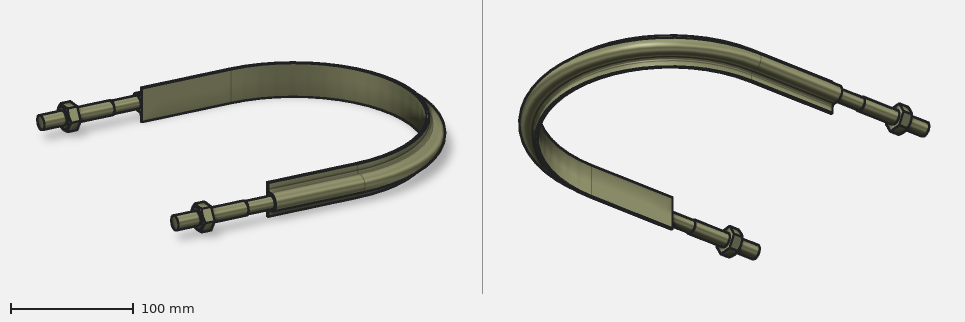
import cadquery as cq
import math

bend_radius = 116.0
rod_diameter = 11.2
thread_diameter = 12.5
thread_length = 65.0
leg_length = 171.8

sleeve_leg_length = 82.4
cushion_thickness = 2.0
bead_radius = rod_diameter / 2 + cushion_thickness
band_width = 30.0
band_thickness = cushion_thickness
bead_foot_fillet = 2.5
band_inner_radius = bend_radius - bead_radius

nut_across_flats = 21.0
nut_height = 10.0
nut_end_gap = 20.4
nut_chamfer_angle = 30.0
nut_face_diameter = 19.0


def leg_cylinder(side, diameter, y_start, length):
    """Cylinder on the leg axis of one side, running along -Y from y_start."""
    plane = cq.Plane(origin=(side * bend_radius, y_start, 0), xDir=(1, 0, 0), normal=(0, -1, 0))
    return cq.Workplane(plane).circle(diameter / 2).extrude(length)


def sweep_u(profile, leg):
    """U-shape of a profile(workplane) section whose origin lies on the rod axis."""
    section = cq.Plane(origin=(bend_radius, 0, 0), xDir=(1, 0, 0), normal=(0, -1, 0))
    bend = profile(cq.Workplane(section)).revolve(180, (-bend_radius, 0), (-bend_radius, 1))
    right_leg = profile(cq.Workplane(section)).extrude(leg)
    left_leg = right_leg.mirror("YZ")
    return bend.union(right_leg).union(left_leg)


def rod_section(workplane):
    return workplane.circle(rod_diameter / 2)


def sleeve_section(workplane):
    """Flat band with the round bead on its outer face, the bead feet rounded into the band."""
    inner = band_inner_radius - bend_radius
    outer = inner + band_thickness
    half_width = band_width / 2
    foot_x = outer + bead_foot_fillet
    centre_distance = bead_radius + bead_foot_fillet
    foot_z = math.sqrt(centre_distance**2 - foot_x**2)
    bead_end_x = foot_x * bead_radius / centre_distance
    bead_end_z = foot_z * bead_radius / centre_distance
    return (
        workplane.moveTo(inner, -half_width)
        .lineTo(outer, -half_width)
        .lineTo(outer, -foot_z)
        .radiusArc((bead_end_x, -bead_end_z), bead_foot_fillet)
        .threePointArc((bead_radius, 0), (bead_end_x, bead_end_z))
        .radiusArc((outer, foot_z), bead_foot_fillet)
        .lineTo(outer, half_width)
        .lineTo(inner, half_width)
        .close()
    )


def make_rod():
    rod = sweep_u(rod_section, leg_length - thread_length)
    for side in (-1, 1):
        rod = rod.union(leg_cylinder(side, thread_diameter, thread_length - leg_length, thread_length))
    return rod


def make_sleeve():
    bore = sweep_u(rod_section, sleeve_leg_length)
    return sweep_u(sleeve_section, sleeve_leg_length).cut(bore)


def make_nut(side):
    """Hexagon nut with corners along X, chamfered on its outer (-Y) face."""
    y_start = nut_height + nut_end_gap - leg_length
    across_corners = nut_across_flats / math.cos(math.pi / 6)
    plane = cq.Plane(origin=(side * bend_radius, y_start, 0), xDir=(1, 0, 0), normal=(0, -1, 0))
    hexagon = cq.Workplane(plane).polygon(6, across_corners).extrude(nut_height)
    chamfer_width = (across_corners - nut_face_diameter) / 2
    chamfer_height = chamfer_width * math.tan(math.radians(nut_chamfer_angle))
    cone = (
        cq.Workplane(plane)
        .circle(across_corners / 2)
        .extrude(nut_height)
        .faces("<Y")
        .chamfer(chamfer_height, chamfer_width)
    )
    return hexagon.intersect(cone).cut(leg_cylinder(side, thread_diameter, y_start, nut_height))


rod = make_rod()
sleeve = make_sleeve()
nuts = [make_nut(side) for side in (-1, 1)]

result = cq.Compound.makeCompound([rod.val(), sleeve.val(), *[nut.val() for nut in nuts]])